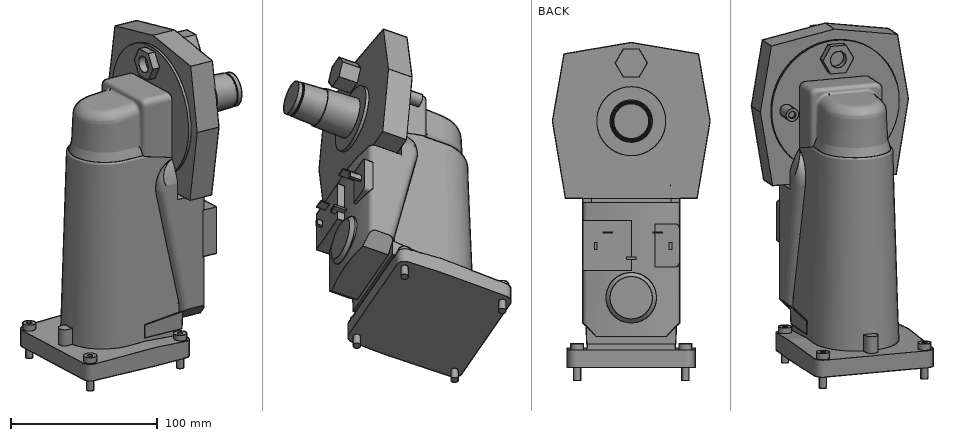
import cadquery as cq
import math

OVERLAP = 1.2
SAME_PLACE = 0.02

BASE_BOTTOM = 8.8
BASE_EDGE_TOP = 20.8
BASE_RIDGE_TOP = 22.4
BASE_FRONT = -42.0
BASE_REAR = 44.0
BASE_RIDGE_Y = 13.4
BASE_END_HALF = 43.0
BASE_MID_HALF = 43.8
BASE_CORNER_R = 5.8

SCREW_X = 37.0
SCREW_FRONT_Y = -36.2
SCREW_REAR_Y = 38.0
SCREW_HEAD_D = 9.0
SCREW_HEAD_TOP = 25.1
SCREW_SHANK_D = 5.0
SCREW_SOCKET_D = 3.5
SCREW_SOCKET_DEPTH = 2.3

BOSS_D = 9.0
BOSS_FRONT = -36.5
BOSS_TOP = 32.7

PLATE_FRONT = 40.5
PLATE_REAR = 58.5
PLATE_TOP = 230.6
PLATE_SHOULDER_Z = 222.8
PLATE_SHOULDER_HALF = 46.0
PLATE_WIDTH = 107.7
PLATE_HALF = PLATE_WIDTH / 2
PLATE_BOTTOM = 124.3
PLATE_BOTTOM_HALF = 45.0
AXIS_Z = 177.0
DISC_FRONT = 38.5
DISC_D = 92.7
NUT_Z = 211.0
NUT_FLATS = 19.4
NUT_FRONT = 33.0
NUT_BORE_D = 11.5
BOLT_Z = 216.5
BOLT_FLATS = 19.0
BOLT_REAR = 72.5
PIN_X = -36.0
PIN_D = 9.0
PIN_FRONT = 26.0
PIN_BORE_D = 5.0
PIN_BORE_DEPTH = 2.3

COLLAR_D = 47.0
COLLAR_REAR = 60.9
SPIGOT_ROOT_D = 28.8
SPIGOT_STEP_D = 27.2
SPIGOT_STEP_Y = 84.6
SPIGOT_TUBE_ROOT_D = 25.8
SPIGOT_TUBE_D = 24.2
SPIGOT_TUBE_REAR = 102.0
SPIGOT_GROOVE_D = 22.1
SPIGOT_RIM_FRONT = 102.9
SPIGOT_RIM_D = 23.8
SPIGOT_REAR = 106.0

FRONT_AXIS_Y = 1.0
COLUMN_BOTTOM = BASE_EDGE_TOP
COLUMN_FOOT_R = 30.2
COLUMN_TOP = 156.0
COLUMN_TOP_R = 26.0
COLUMN_TOP_REAR_Z = 149.7
COLUMN_EDGE_R = 1.5

HEAD_FRONT = 15.2
HEAD_TOP = 196.3
HEAD_HALF = 26.3
HEAD_TOP_EDGE_R = 4.5
HEAD_FRONT_EDGE_R = 3.2

SHOULDER_R = 24.7
DOME_BOTTOM = 162.1
DOME_FOOT_R = 22.5
DOME_TOP_R = 21.0
DOME_REAR_Z = 192.0
DOME_FRONT_Z = 188.6
DOME_EDGE_R = 8.0
DOME_NECK_R = 1.8

BOX_HALF = 33.2
BOX_REAR = 65.7
BOX_TOP = 121.5
BOX_BOTTOM = 30.2
BOX_BOTTOM_EDGE = 9.2
BOX_REAR_SIDE_Y = 61.3
BOX_REAR_EDGE_R = 4.2
FLANGE_FOOT_Y = 43.1
FLANGE_FOOT_Z = 37.5
FLANGE_TOP_Y = 25.0
FLANGE_BEND_Z = 126.8
FLANGE_CROWN_Z = 149.2
FLANGE_EDGE_R = 5.0
FLANGE_CROWN_HALF = 26.3
FLANGE_CROWN_MID_X = 31.4
FLANGE_CROWN_MID_Z = 139.5
FLANGE_CROWN_START_Z = 123.4

FOOT_REAR_Z = 37.5
FOOT_FRONT_Z = 34.4
FOOT_BOTTOM = 25.0
FOOT_FRONT = BASE_RIDGE_Y
FOOT_HALF = 30.5

SOCKET_REAR = 70.8
SOCKET_RIGHT = 33.0
SOCKET_BOTTOM = 75.0
SOCKET_TOP = 109.0
LATCH_HALF = 32.7
LATCH_RIGHT = -16.1
LATCH_FRONT = 59.0
LATCH_REAR = 66.5
LATCH_BOTTOM = 77.5
LATCH_TOP = 106.8
LATCH_EDGE_R = 2.8
CAP_D = 34.4
CAP_Z = 56.5
CAP_REAR = 68.7
CAP_CHAMFER = 2.8
BLADE_WIDTH = 6.5
BLADE_THICK = 1.0
BLADE_REAR = 77.3
BLADE_Z = 101.0
BLADE_XS = (-18.2, 16.0)
PRONG_THICK = 1.8
PRONG_HEIGHT = 4.8
PRONG_REAR = 74.7
PRONG_Z = 91.8
PRONG_XS = (-26.8, 24.2)
EARTH_Z = 83.5


def block(x0, x1, y0, y1, z0, z1):
    """Box between two opposite corners."""
    return cq.Workplane("XY").box(x1 - x0, y1 - y0, z1 - z0, centered=False).translate((x0, y0, z0))


def rod_y(diameter, y0, y1, x, z):
    """Cylinder along Y."""
    return cq.Workplane("XZ", origin=(x, y0, z)).circle(diameter / 2).extrude(y0 - y1)


def hex_y(flats, y0, y1, z):
    """Hexagonal prism along Y with two horizontal flats."""
    corners = flats / math.cos(math.pi / 6)
    return cq.Workplane("XZ", origin=(0, y0, z)).polygon(6, corners).extrude(y0 - y1)


def side_prism(points, half):
    """Outline in Y and Z, extruded symmetrically across X."""
    return cq.Workplane("YZ").polyline(points).close().extrude(half, both=True)


def round_front_column(z0, radius0, z1, radius1, rear):
    """Column that narrows from radius0 to radius1 on all sides; its plan is a U open to the rear."""
    plan = (
        cq.Workplane("XY", origin=(0, 0, z0))
        .moveTo(-radius0, rear)
        .lineTo(-radius0, FRONT_AXIS_Y)
        .threePointArc((0, FRONT_AXIS_Y - radius0), (radius0, FRONT_AXIS_Y))
        .lineTo(radius0, rear)
        .close()
    )
    draft = math.degrees(math.atan2(radius0 - radius1, z1 - z0))
    return plan.extrude(z1 - z0, taper=draft)


def make_base():
    outline = [
        (-BASE_END_HALF, BASE_FRONT),
        (BASE_END_HALF, BASE_FRONT),
        (BASE_MID_HALF, BASE_RIDGE_Y),
        (BASE_END_HALF, BASE_REAR),
        (-BASE_END_HALF, BASE_REAR),
        (-BASE_MID_HALF, BASE_RIDGE_Y),
    ]
    slab = cq.Workplane("XY").workplane(offset=BASE_BOTTOM).polyline(outline).close()
    slab = slab.extrude(BASE_RIDGE_TOP - BASE_BOTTOM)
    for corner in ("<Y", ">Y"):
        slab = slab.faces(corner).edges("|Z").fillet(BASE_CORNER_R)
    roof = side_prism(
        [
            (BASE_FRONT, BASE_BOTTOM),
            (BASE_REAR, BASE_BOTTOM),
            (BASE_REAR, BASE_EDGE_TOP),
            (BASE_RIDGE_Y, BASE_RIDGE_TOP),
            (BASE_FRONT, BASE_EDGE_TOP),
        ],
        BASE_MID_HALF,
    )
    return slab.intersect(roof)


def make_screw(x, y):
    screw = cq.Workplane("XY").center(x, y).circle(SCREW_SHANK_D / 2).extrude(SCREW_HEAD_TOP)
    head = cq.Workplane("XY", origin=(x, y, BASE_BOTTOM + OVERLAP)).circle(SCREW_HEAD_D / 2)
    screw = screw.union(head.extrude(SCREW_HEAD_TOP - BASE_BOTTOM - OVERLAP))
    return screw.faces(">Z").workplane().hole(SCREW_SOCKET_D, SCREW_SOCKET_DEPTH)


def make_boss():
    centre_y = BOSS_FRONT + BOSS_D / 2
    height = BOSS_TOP - BASE_BOTTOM - OVERLAP
    radius = BOSS_D / 2
    boss = cq.Workplane("XY", origin=(0, centre_y, BASE_BOTTOM + OVERLAP)).circle(radius).extrude(height)
    web = block(-radius, radius, centre_y, 0, BASE_BOTTOM + OVERLAP, BOSS_TOP)
    return boss.union(web)


def make_plate():
    outline = [
        (0, PLATE_TOP),
        (PLATE_SHOULDER_HALF, PLATE_SHOULDER_Z),
        (PLATE_HALF, AXIS_Z),
        (PLATE_BOTTOM_HALF, PLATE_BOTTOM),
        (-PLATE_BOTTOM_HALF, PLATE_BOTTOM),
        (-PLATE_HALF, AXIS_Z),
        (-PLATE_SHOULDER_HALF, PLATE_SHOULDER_Z),
    ]
    plate = cq.Workplane("XZ", origin=(0, PLATE_FRONT, 0)).polyline(outline).close()
    plate = plate.extrude(PLATE_FRONT - PLATE_REAR)
    disc = rod_y(DISC_D, DISC_FRONT, PLATE_REAR, 0, AXIS_Z)
    nut = hex_y(NUT_FLATS, NUT_FRONT, PLATE_FRONT, NUT_Z)
    nut_bore = rod_y(NUT_BORE_D, NUT_FRONT, DISC_FRONT, 0, NUT_Z)
    bolt_head = hex_y(BOLT_FLATS, PLATE_FRONT + OVERLAP, BOLT_REAR, BOLT_Z)
    pin = rod_y(PIN_D, PIN_FRONT, PLATE_FRONT, PIN_X, AXIS_Z)
    pin_bore = rod_y(PIN_BORE_D, PIN_FRONT, PIN_FRONT + PIN_BORE_DEPTH, PIN_X, AXIS_Z)
    plate = plate.union(disc).union(bolt_head)
    return plate.union(nut.cut(nut_bore)).union(pin.cut(pin_bore)).cut(nut_bore)


def make_spigot():
    """Turned about the plate axis from (radius, Y) points."""
    profile = [
        (0, PLATE_FRONT),
        (COLLAR_D / 2, PLATE_FRONT),
        (COLLAR_D / 2, COLLAR_REAR),
        (SPIGOT_ROOT_D / 2, COLLAR_REAR),
        (SPIGOT_STEP_D / 2, SPIGOT_STEP_Y),
        (SPIGOT_TUBE_ROOT_D / 2, SPIGOT_STEP_Y),
        (SPIGOT_TUBE_D / 2, SPIGOT_TUBE_REAR),
        (SPIGOT_GROOVE_D / 2, SPIGOT_TUBE_REAR),
        (SPIGOT_GROOVE_D / 2, SPIGOT_RIM_FRONT),
        (SPIGOT_RIM_D / 2, SPIGOT_RIM_FRONT),
        (SPIGOT_RIM_D / 2, SPIGOT_REAR),
        (0, SPIGOT_REAR),
    ]
    turned = cq.Workplane("XY").polyline(profile).close().revolve(360, (0, 0, 0), (0, 1, 0))
    return turned.translate((0, 0, AXIS_Z))


def make_column():
    column = round_front_column(
        COLUMN_BOTTOM,
        COLUMN_FOOT_R,
        COLUMN_TOP,
        COLUMN_TOP_R,
        DISC_FRONT + COLUMN_FOOT_R - COLUMN_TOP_R,
    )
    column = column.faces(">Z").edges("not >Y").fillet(COLUMN_EDGE_R)
    above_slope = side_prism(
        [
            (HEAD_FRONT, COLUMN_TOP),
            (PLATE_FRONT, COLUMN_TOP_REAR_Z),
            (PLATE_FRONT, COLUMN_TOP + OVERLAP),
            (HEAD_FRONT, COLUMN_TOP + OVERLAP),
        ],
        COLUMN_FOOT_R,
    )
    return column.cut(above_slope)


def make_head():
    head = block(-HEAD_HALF, HEAD_HALF, HEAD_FRONT, PLATE_FRONT, FLANGE_BEND_Z, HEAD_TOP)
    head = head.faces(">Z").edges("|Y").fillet(HEAD_TOP_EDGE_R)
    head = head.faces("<Y").edges("not <Z").fillet(HEAD_FRONT_EDGE_R)
    below_slope = side_prism(
        [
            (HEAD_FRONT, FLANGE_BEND_Z),
            (PLATE_FRONT, FLANGE_BEND_Z),
            (PLATE_FRONT, COLUMN_TOP_REAR_Z),
            (HEAD_FRONT, COLUMN_TOP),
        ],
        HEAD_HALF,
    )
    return head.cut(below_slope)


def make_dome():
    dome_rear = HEAD_FRONT + HEAD_FRONT_EDGE_R
    shoulder = round_front_column(COLUMN_TOP, SHOULDER_R, DOME_BOTTOM, DOME_FOOT_R, dome_rear)
    dome = round_front_column(DOME_BOTTOM, DOME_FOOT_R, HEAD_TOP, DOME_TOP_R, dome_rear)
    above_slope = side_prism(
        [
            (dome_rear, DOME_REAR_Z),
            (-COLUMN_TOP_R, DOME_FRONT_Z),
            (-COLUMN_TOP_R, HEAD_TOP + OVERLAP),
            (dome_rear, HEAD_TOP + OVERLAP),
        ],
        COLUMN_TOP_R,
    )
    dome = dome.cut(above_slope)
    dome = dome.faces(">Z").edges("not >Y").fillet(DOME_EDGE_R)
    return shoulder.union(dome)


def is_neck_edge(edge):
    """Upright edge where a side wall of the dome meets the front of the head block."""
    middle = edge.Center()
    on_head_front = abs(middle.y - HEAD_FRONT) < SAME_PLACE
    on_dome_side = DOME_TOP_R < abs(middle.x) < DOME_FOOT_R
    return on_head_front and on_dome_side and middle.z > DOME_BOTTOM


def make_upper_housing():
    upper = make_head().union(make_dome())
    return upper.edges().filter(is_neck_edge).fillet(DOME_NECK_R)


def flange_profile():
    """Side outline of the rear box: sloping front, round bend up to the crown, upright rear."""
    bend_depth = DISC_FRONT - FLANGE_TOP_Y
    crown_rise = FLANGE_CROWN_Z - FLANGE_BEND_Z
    diagonal = math.sqrt(0.5)
    bend_middle = (DISC_FRONT - bend_depth * diagonal, FLANGE_BEND_Z + crown_rise * diagonal)
    return (
        cq.Workplane("YZ")
        .moveTo(BASE_REAR, BOX_BOTTOM)
        .lineTo(FLANGE_FOOT_Y, FLANGE_FOOT_Z)
        .lineTo(FLANGE_TOP_Y, FLANGE_BEND_Z)
        .threePointArc(bend_middle, (DISC_FRONT, FLANGE_CROWN_Z))
        .lineTo(DISC_FRONT, BOX_TOP)
        .lineTo(BOX_REAR, BOX_TOP)
        .lineTo(BOX_REAR, BOX_BOTTOM)
        .close()
    )


def make_rear_box():
    box = flange_profile().extrude(BOX_HALF, both=True)
    side_edges = box.faces("<X or >X").edges()
    flange_edges = side_edges.filter(lambda edge: edge.Center().y < DISC_FRONT - OVERLAP)
    box = flange_edges.fillet(FLANGE_EDGE_R)

    outer_half = BOX_HALF + OVERLAP
    rear_sagitta = BOX_REAR - BOX_REAR_SIDE_Y
    rear_bow_r = (BOX_HALF**2 + rear_sagitta**2) / (2 * rear_sagitta)
    bow = cq.Workplane("XY").center(0, BOX_REAR - rear_bow_r).circle(rear_bow_r).extrude(PLATE_TOP)
    box = box.intersect(bow)
    box = box.faces(">X or <X").edges("|Z").edges(">Y").fillet(BOX_REAR_EDGE_R)

    bottom_half = BOX_HALF - BOX_BOTTOM_EDGE
    bevel_top = BOX_BOTTOM + BOX_BOTTOM_EDGE + OVERLAP
    front_outline = (
        cq.Workplane("XZ")
        .moveTo(-bottom_half, BOX_BOTTOM)
        .lineTo(-outer_half, bevel_top)
        .lineTo(-outer_half, FLANGE_CROWN_START_Z)
        .threePointArc((-FLANGE_CROWN_MID_X, FLANGE_CROWN_MID_Z), (-FLANGE_CROWN_HALF, FLANGE_CROWN_Z))
        .lineTo(FLANGE_CROWN_HALF, FLANGE_CROWN_Z)
        .threePointArc((FLANGE_CROWN_MID_X, FLANGE_CROWN_MID_Z), (outer_half, FLANGE_CROWN_START_Z))
        .lineTo(outer_half, bevel_top)
        .lineTo(bottom_half, BOX_BOTTOM)
        .close()
        .extrude(-BOX_REAR - OVERLAP)
    )
    return box.intersect(front_outline)


def make_foot():
    return side_prism(
        [
            (FOOT_FRONT, FOOT_BOTTOM),
            (BASE_REAR, FOOT_BOTTOM),
            (BASE_REAR, FOOT_REAR_Z),
            (FOOT_FRONT, FOOT_FRONT_Z),
        ],
        FOOT_HALF,
    )


def make_rear_fittings():
    root = LATCH_FRONT
    socket = block(0, SOCKET_RIGHT, root, SOCKET_REAR, SOCKET_BOTTOM, SOCKET_TOP)
    latch = block(-LATCH_HALF, LATCH_RIGHT, root, LATCH_REAR, LATCH_BOTTOM, LATCH_TOP)
    latch = latch.faces("<X").edges("|Y").fillet(LATCH_EDGE_R)
    cap = rod_y(CAP_D, root, CAP_REAR, 0, CAP_Z).faces(">Y").chamfer(CAP_CHAMFER)
    fittings = socket.union(latch).union(cap)
    terminals = [(x, BLADE_Z, BLADE_WIDTH, BLADE_THICK, BLADE_REAR) for x in BLADE_XS]
    terminals += [(x, PRONG_Z, PRONG_THICK, PRONG_HEIGHT, PRONG_REAR) for x in PRONG_XS]
    terminals.append((0, EARTH_Z, BLADE_WIDTH, PRONG_THICK, PRONG_REAR))
    for x, z, width, height, rear in terminals:
        half, rise = width / 2, height / 2
        fittings = fittings.union(block(x - half, x + half, root, rear, z - rise, z + rise))
    return fittings


result = make_base().union(make_foot()).union(make_column()).union(make_boss())
result = result.union(make_upper_housing()).union(make_rear_box())
result = result.union(make_plate()).union(make_spigot()).union(make_rear_fittings())
for screw_y in (SCREW_FRONT_Y, SCREW_REAR_Y):
    for screw_x in (-SCREW_X, SCREW_X):
        result = result.union(make_screw(screw_x, screw_y))